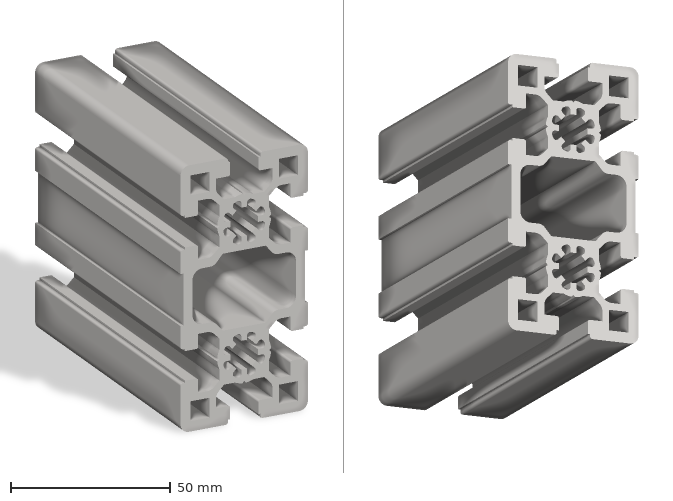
import cadquery as cq
import math

length = 100.0
cell = 45.0
half_cell = cell / 2
height = 2 * cell
outer_radius = 3.0

mouth_half = 5.0
mouth_step_half = 5.8
mouth_step_depth = 1.6
mouth_edge_radius = 0.7
lip_thickness = 6.2
lip_inner_radius = 0.7
chamber_half = 10.0
chamber_wall_radius = 3.5
floor_half = 7.1
floor_depth = 13.7

crown_half = 3.3
crown_height = 0.7
groove_half = 0.6

bore_radius = 7.7
tooth_count = 8
tooth_width = 2.0
tooth_tip = 4.9
tooth_root_radius = 1.1

channel_side = 6.7
channel_inset = 3.5

recess_depth = 1.1
recess_half_height = 8.8

cavity_half_width = 18.3
cavity_shoulder = 9.4
cavity_half_height = 13.0
cavity_top_half_width = 7.6
cavity_shoulder_half_width = 10.7
cavity_corner_radius = 3.5
cavity_shoulder_radius = 3.0


def prism(outline):
    """Extrude a closed YZ outline over the full length."""
    return outline.close().extrude(length)


def box(width, tall, y, z):
    """Full-length rectangular bar centred at (y, z)."""
    return cq.Workplane("YZ").center(y, z).rect(width, tall).extrude(length)


def turn(solid, angle):
    """Rotate a solid about the lengthwise X axis."""
    return solid.rotate((0, 0, 0), (1, 0, 0), angle)


def make_slot():
    """T-slot opening upward, with the cell centre at the origin."""
    face = half_cell
    lip = face - lip_thickness
    floor = face - floor_depth
    wall_bottom = floor + chamber_half - floor_half
    crown = floor + crown_height
    crown_radius = (crown_half**2 + crown_height**2) / (2 * crown_height)
    half = prism(
        cq.Workplane("YZ")
        .moveTo(0, face)
        .lineTo(mouth_step_half + mouth_edge_radius, face)
        .radiusArc((mouth_step_half, face - mouth_edge_radius), -mouth_edge_radius)
        .lineTo(mouth_step_half, face - mouth_step_depth)
        .lineTo(mouth_half, face - mouth_step_depth)
        .lineTo(mouth_half, lip + lip_inner_radius)
        .radiusArc((mouth_half + lip_inner_radius, lip), -lip_inner_radius)
        .lineTo(chamber_half, lip)
        .lineTo(chamber_half, wall_bottom)
        .lineTo(floor_half, floor)
        .lineTo(crown_half, floor)
        .radiusArc((groove_half, crown), -crown_radius)
        .lineTo(0, floor)
    )
    wall_corner = cq.selectors.NearestToPointSelector((length / 2, chamber_half, wall_bottom))
    half = half.edges("|X").edges(wall_corner).fillet(chamber_wall_radius)
    return half.union(half.mirror("XZ"))


def is_tooth_root(edge):
    """True for the bore edges where a tooth meets the bore wall."""
    middle = edge.Center()
    return math.hypot(middle.y, middle.z) > (bore_radius + tooth_tip) / 2


def make_bore():
    """Round bore with square-ended teeth pointing at the cell centre."""
    bore = cq.Workplane("YZ").circle(bore_radius).extrude(length)
    tooth_length = bore_radius + tooth_root_radius - tooth_tip
    tooth = box(tooth_width, tooth_length, 0, tooth_tip + tooth_length / 2)
    for index in range(tooth_count):
        bore = bore.cut(turn(tooth, index * 360 / tooth_count))
    roots = bore.edges("|X").filter(is_tooth_root)
    return roots.fillet(tooth_root_radius)


def fillet_at_width(solid, half_width, radius):
    """Round the lengthwise edges that lie at the given distance from the middle plane."""
    edges = solid.edges("|X").filter(lambda edge: math.isclose(abs(edge.Center().y), half_width))
    return edges.fillet(radius)


def make_cavity():
    """Central cavity: a wide body with a narrower sloped top and bottom."""
    quarter = [
        (cavity_half_width, cavity_shoulder),
        (cavity_shoulder_half_width, cavity_shoulder),
        (cavity_top_half_width, cavity_half_height),
    ]
    upper = quarter + [(-y, z) for y, z in reversed(quarter)]
    lower = [(-y, -z) for y, z in upper]
    cavity = prism(cq.Workplane("YZ").polyline(upper + lower))
    cavity = fillet_at_width(cavity, cavity_half_width, cavity_corner_radius)
    return fillet_at_width(cavity, cavity_shoulder_half_width, cavity_shoulder_radius)


body = box(cell, height, 0, 0).edges("|X").fillet(outer_radius)

slot = make_slot()
cell_cut = make_bore()
for angle in (0, 90, -90):
    cell_cut = cell_cut.union(turn(slot, angle))
channel_offset = half_cell - channel_inset - channel_side / 2
for side in (-1, 1):
    cell_cut = cell_cut.union(box(channel_side, channel_side, side * channel_offset, channel_offset))
cell_cut = cell_cut.translate((0, 0, half_cell))

body = body.cut(cell_cut).cut(cell_cut.mirror("XY")).cut(make_cavity())
for side in (-1, 1):
    recess_y = side * (half_cell - recess_depth / 2)
    body = body.cut(box(recess_depth, 2 * recess_half_height, recess_y, 0))

result = body.translate((-length / 2, 0, 0))